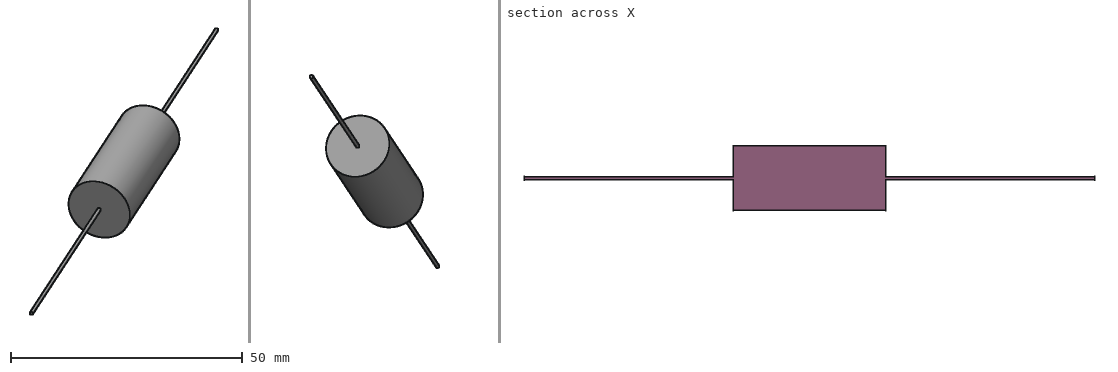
import cadquery as cq

overall_length = 123.0
body_length = 33.0
body_diameter = 14.0
lead_diameter = 0.8


def rod_along_y(diameter, length):
    """Solid cylinder on the Y axis, centred on the origin."""
    start_face = cq.Workplane("XZ", origin=(0, length / 2, 0))
    return start_face.circle(diameter / 2).extrude(length)


body = rod_along_y(body_diameter, body_length)
leads = rod_along_y(lead_diameter, overall_length)

result = body.union(leads)